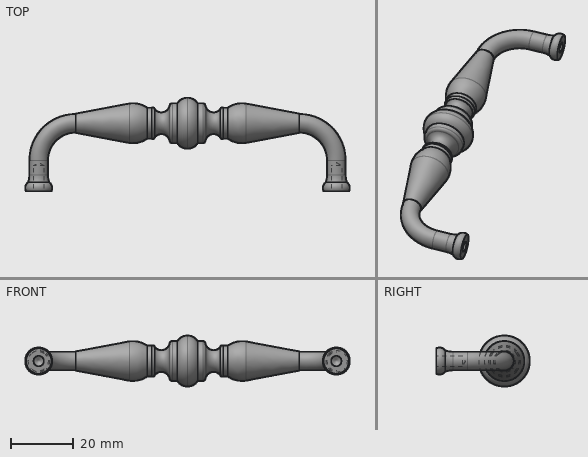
import cadquery as cq
import math

overall_length = 104.8
overall_depth = 30.3

bead_radius = 8.3
bead_half_width = 3.2
collar_radius = 6.5
collar_flat_end = 4.9
collar_end = 5.9
collar_end_radius = 5.5

throat_x = 8.1
throat_radius = 3.6
ring_start = 10.6
ring_start_radius = 4.6
ring_flat_start = 11.5
ring_radius = 5.0
ring_end = 13.0

bulb_peak_x = 17.4
bulb_radius = 6.5
cone_start = 18.9
cone_start_radius = 6.4
cone_end_radius = 3.1

tube_radius = 3.0
bend_radius = 11.9
foot_radius = 4.4
foot_base_radius = 4.1
foot_widest_height = 1.3
foot_shoulder_height = 2.9
foot_neck_radius = 3.5
flare_height = 5.5

hole_radius = 1.7
hole_depth = 8.4
drill_point_angle = 118.0

grip_y = overall_depth - bead_radius
leg_x = overall_length / 2 - foot_radius
cone_end = leg_x - bend_radius
leg_height = grip_y - bend_radius


def bulge_point(start, end, bulge):
    """Point offset from the chord's middle, to the left of start-to-end."""
    dx = end[0] - start[0]
    dy = end[1] - start[1]
    chord = math.hypot(dx, dy)
    middle_x = (start[0] + end[0]) / 2
    middle_y = (start[1] + end[1]) / 2
    return (middle_x - bulge * dy / chord, middle_y + bulge * dx / chord)


def half_grip():
    """Turned half of the grip, from the middle of the bead to the bend."""
    bead_top = (0, bead_radius)
    bead_edge = (bead_half_width, collar_radius)
    collar_flat = (collar_flat_end, collar_radius)
    collar_edge = (collar_end, collar_end_radius)
    ring_edge = (ring_start, ring_start_radius)
    ring_flat = (ring_flat_start, ring_radius)
    bulb_foot = (ring_end, ring_radius)
    bulb_peak = (bulb_peak_x, bulb_radius)
    cone_top = (cone_start, cone_start_radius)
    bead_rise = bead_radius - collar_radius
    bead_arc_radius = (bead_half_width**2 + bead_rise**2) / (2 * bead_rise)
    half_chord = math.hypot(bead_half_width, bead_rise) / 2
    bead_bulge = bead_arc_radius - math.sqrt(bead_arc_radius**2 - half_chord**2)
    edge_bulge = 0.26
    profile = (
        cq.Workplane("XY")
        .lineTo(*bead_top)
        .threePointArc(bulge_point(bead_top, bead_edge, bead_bulge), bead_edge)
        .lineTo(*collar_flat)
        .threePointArc(bulge_point(collar_flat, collar_edge, edge_bulge), collar_edge)
        .threePointArc((throat_x, throat_radius), ring_edge)
        .threePointArc(bulge_point(ring_edge, ring_flat, edge_bulge), ring_flat)
        .lineTo(*bulb_foot)
        .threePointArc(bulb_peak, cone_top)
        .lineTo(cone_end, cone_end_radius)
        .lineTo(cone_end, 0)
        .close()
    )
    return profile.revolve(360, (0, 0), (1, 0)).translate((0, grip_y, 0))


def bend():
    """Quarter-circle tube joining the cone to the leg."""
    return (
        cq.Workplane("XZ", origin=(leg_x, leg_height, 0))
        .circle(tube_radius)
        .revolve(90, (-bend_radius, 0), (-bend_radius, 1))
    )


def leg():
    """Turned leg with a flared, rounded foot."""
    rim = (foot_radius, foot_widest_height)
    shoulder = (foot_neck_radius, foot_shoulder_height)
    flare_top = (tube_radius, flare_height)
    base_edge = (foot_base_radius, 0)
    profile = (
        cq.Workplane("XY")
        .lineTo(0, leg_height)
        .lineTo(tube_radius, leg_height)
        .lineTo(*flare_top)
        .tangentArcPoint(shoulder, relative=False)
        .threePointArc(rim, base_edge)
        .close()
    )
    return profile.revolve(360, (0, 0), (0, 1)).translate((leg_x, 0, 0))


def screw_hole():
    """Blind drilled hole with a conical tip, entering the foot."""
    tip_length = hole_radius / math.tan(math.radians(drill_point_angle / 2))
    profile = (
        cq.Workplane("XY")
        .lineTo(hole_radius, 0)
        .lineTo(hole_radius, hole_depth)
        .lineTo(0, hole_depth + tip_length)
        .close()
    )
    return profile.revolve(360, (0, 0), (0, 1)).translate((leg_x, 0, 0))


half = half_grip().union(bend()).union(leg()).cut(screw_hole())
result = half.union(half.mirror("YZ"))